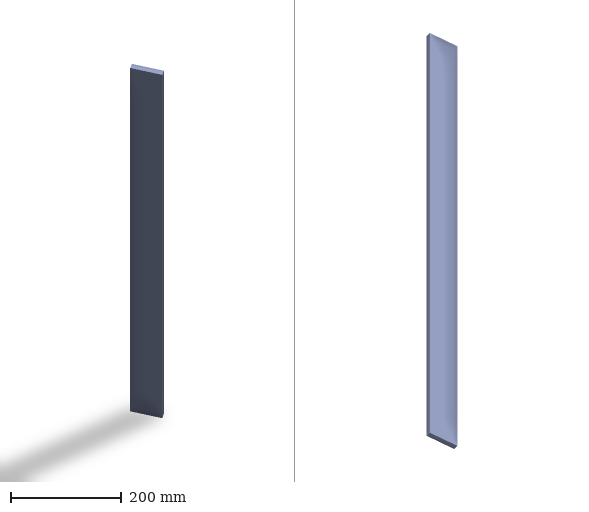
import cadquery as cq

width = 60.0
thickness = 10.0
height = 1000.0

result = cq.Workplane("XY").box(width, thickness, height)